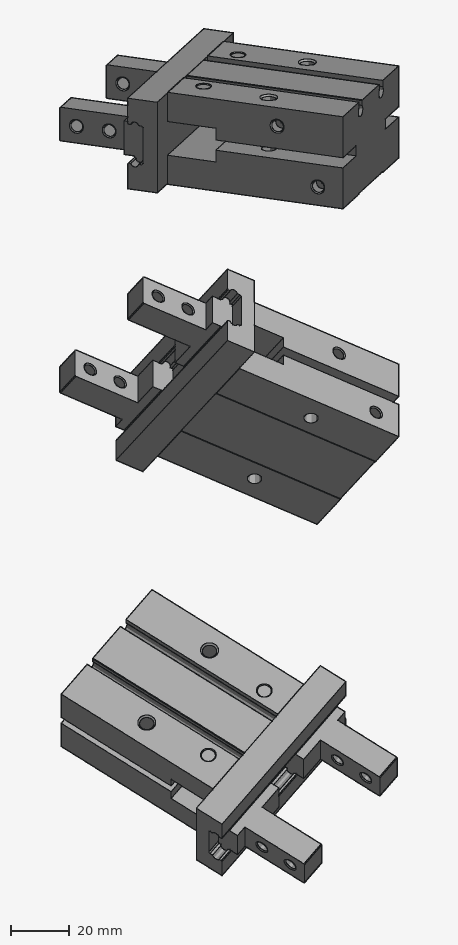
import cadquery as cq
import math

total_length = 103.0
rail_front = 28.2
body_front = 39.0

body_width = 52.0
body_height = 33.5
middle_height = 32.9
window_end = 56.6

groove_spacing = 19.2
groove_width = 3.1
groove_bore_radius = 2.1
groove_neck_depth = 2.0
middle_edge_chamfer = 0.2

side_slot_height = 3.7
side_slot_depth = 12.4

mount_x = 72.8
mount_spacing = 35.9
mount_diameter = 4.8
mount_mouth_diameter = 6.1

recess_x = 48.3
recess_spacing = 32.0
recess_diameter = 5.4
recess_floor_diameter = 4.7
recess_depth = 0.3

port_places = [(79.0, 10.0), (93.8, -10.0)]
port_depth = 4.1
orifice_diameter = 0.5
orifice_depth = 1.0

thread_diameter = 4.2
thread_mouth_diameter = 5.0

rail_width = 71.0
rail_height = 33.0
channel_height = 14.1
channel_end = 33.8
channel_mouth_chamfer = 0.3
channel_corner_chamfer = 0.5
ball_x = 30.8
ball_z = 6.7
ball_radius = 1.4

finger_height = 12.3
finger_back = 33.2
plate_front = 25.1
plate_inner_y = 7.1
plate_outer_y = 30.8
bar_inner_y = 16.7
bar_outer_y = 26.6
tip_chamfer = 0.3
ridge_foot = 0.8
finger_hole_x = [6.1, 18.0]


def box(x0, x1, y0, y1, z0, z1):
    """Axis-aligned block given by its limits."""
    return cq.Workplane("XY").box(x1 - x0, y1 - y0, z1 - z0, centered=False).translate((x0, y0, z0))


def centred_box(x0, x1, width, height):
    """Block from x0 to x1, centred on Y = 0 and Z = 0."""
    return box(x0, x1, -width / 2, width / 2, -height / 2, height / 2)


def cylinder(radius, length, start, direction):
    return cq.Workplane(obj=cq.Solid.makeCylinder(radius, length, cq.Vector(*start), cq.Vector(*direction)))


def cone(start_radius, end_radius, length, start, direction):
    solid = cq.Solid.makeCone(start_radius, end_radius, length, cq.Vector(*start), cq.Vector(*direction))
    return cq.Workplane(obj=solid)


def chamfered_hole(diameter, mouth_diameter, length, start, direction):
    """Cutter for a round hole with a 45 degree chamfer at its mouth."""
    radius = diameter / 2
    mouth_radius = mouth_diameter / 2
    hole = cylinder(radius, length, start, direction)
    return hole.union(cone(mouth_radius, radius, mouth_radius - radius, start, direction))


def ball_channel():
    """Round guide grooves above and below the channel, full rail width."""
    upper = cylinder(ball_radius, rail_width, (ball_x, -rail_width / 2, ball_z), (0, 1, 0))
    return upper.union(upper.mirror("XY"))


def channel_mouth():
    """Chamfer cutter for the channel's front opening."""
    inner = channel_height / 2
    outer = inner + channel_mouth_chamfer
    depth = rail_front + channel_mouth_chamfer
    return (
        cq.Workplane("XZ", origin=(0, rail_width / 2, 0))
        .polyline([(rail_front, -outer), (depth, -inner), (depth, inner), (rail_front, outer)])
        .close()
        .extrude(rail_width)
    )


def guide_rail():
    rail = centred_box(rail_front, body_front, rail_width, rail_height)
    channel = centred_box(rail_front, channel_end, rail_width, channel_height)
    channel = channel.faces(">X").edges("|Y").chamfer(channel_corner_chamfer)
    return rail.cut(channel).cut(channel_mouth()).cut(ball_channel())


def sensor_groove(y):
    top = body_height / 2
    length = total_length - body_front
    half_width = groove_width / 2
    bore_drop = math.sqrt(groove_bore_radius ** 2 - half_width ** 2)
    bore_z = middle_height / 2 - groove_neck_depth - bore_drop
    neck = box(body_front, total_length, y - half_width, y + half_width, bore_z, top)
    return neck.union(cylinder(groove_bore_radius, length, (body_front, y, bore_z), (1, 0, 0)))


def middle_edge_bevel():
    """Cutter that bevels the +Y edge of the middle strip's top face."""
    edge_y = (groove_spacing - groove_width) / 2
    edge_z = middle_height / 2
    return (
        cq.Workplane("YZ", origin=(body_front, 0, 0))
        .moveTo(edge_y - middle_edge_chamfer, edge_z)
        .lineTo(edge_y, edge_z)
        .lineTo(edge_y, edge_z - middle_edge_chamfer)
        .close()
        .extrude(total_length - body_front)
    )


def port_hole(x, z):
    face_y = -body_width / 2
    hole = chamfered_hole(thread_diameter, thread_mouth_diameter, port_depth, (x, face_y, z), (0, 1, 0))
    floor_centre = (x, face_y + port_depth, z)
    return hole.union(cylinder(orifice_diameter / 2, orifice_depth, floor_centre, (0, 1, 0)))


def cylinder_body():
    top = body_height / 2
    body = centred_box(body_front, total_length, body_width, body_height)

    middle_width = groove_spacing + groove_width
    upper_step = box(body_front, total_length, -middle_width / 2, middle_width / 2, middle_height / 2, top)
    body = body.cut(upper_step).cut(upper_step.mirror("XY"))

    bevel = middle_edge_bevel()
    body = body.cut(bevel).cut(bevel.mirror("XZ"))

    body = body.cut(centred_box(body_front, window_end, body_width, finger_height))

    for side in (-1, 1):
        slot_y = sorted((side * body_width / 2, side * (body_width / 2 - side_slot_depth)))
        body = body.cut(box(window_end, total_length, *slot_y, -side_slot_height / 2, side_slot_height / 2))

        body = body.cut(sensor_groove(side * groove_spacing / 2))

        mount_start = (mount_x, side * mount_spacing / 2, top)
        body = body.cut(chamfered_hole(mount_diameter, mount_mouth_diameter, body_height, mount_start, (0, 0, -1)))

        recess_start = (recess_x, side * recess_spacing / 2, top)
        body = body.cut(
            cone(recess_diameter / 2, recess_floor_diameter / 2, recess_depth, recess_start, (0, 0, -1))
        )

    for x, z in port_places:
        body = body.cut(port_hole(x, z))
    return body


def make_housing():
    """Guide rail and cylinder body in one piece."""
    return guide_rail().union(cylinder_body())


def guide_ridge():
    """Upper ridge of a finger: a round bead with a sloped foot ahead of it."""
    width = plate_outer_y - plate_inner_y
    bead = cylinder(ball_radius, width, (ball_x, plate_inner_y, ball_z), (0, 1, 0))
    foot = (
        cq.Workplane("XZ", origin=(0, plate_outer_y, 0))
        .moveTo(ball_x - ball_radius - ridge_foot, finger_height / 2)
        .lineTo(ball_x - ball_radius, finger_height / 2 + ridge_foot)
        .lineTo(ball_x, finger_height / 2 + ridge_foot)
        .lineTo(ball_x, finger_height / 2)
        .close()
        .extrude(width)
    )
    return bead.union(foot)


def make_finger(side):
    """Gripper finger on the +Y (side = 1) or -Y (side = -1) half."""
    half = finger_height / 2
    bar = box(0, finger_back, bar_inner_y, bar_outer_y, -half, half).faces("<X").edges("|Y").chamfer(tip_chamfer)
    plate = box(plate_front, finger_back, plate_inner_y, plate_outer_y, -half, half)
    ridge = guide_ridge()
    finger = bar.union(plate).union(ridge).union(ridge.mirror("XY"))

    bar_width = bar_outer_y - bar_inner_y
    for x in finger_hole_x:
        for y, direction in ((bar_inner_y, 1), (bar_outer_y, -1)):
            finger = finger.cut(
                chamfered_hole(thread_diameter, thread_mouth_diameter, bar_width, (x, y, 0), (0, direction, 0))
            )
    return finger if side > 0 else finger.mirror("XZ")


housing = make_housing()
fingers = [make_finger(side) for side in (-1, 1)]

result = cq.Compound.makeCompound([housing.solids().val(), *[finger.solids().val() for finger in fingers]])